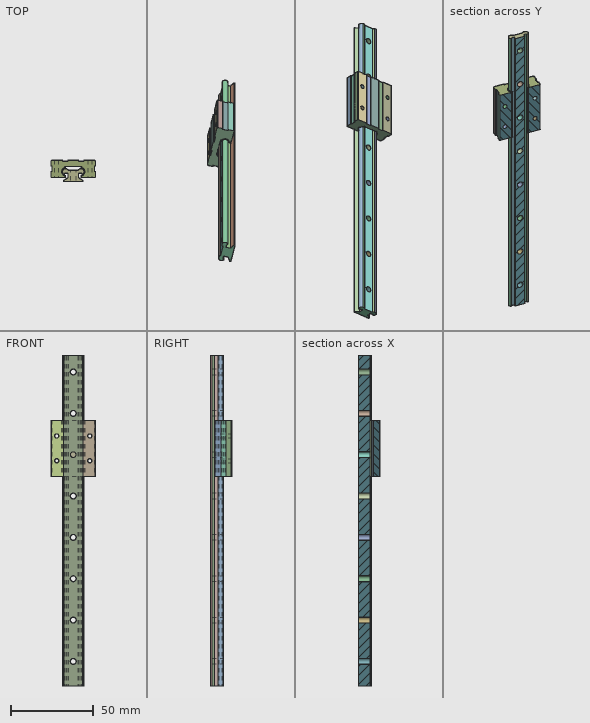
import cadquery as cq
import math


rail_length = 200.0
foot_half_width = 5.8
foot_edge = 0.8
neck_half_width = 3.2
neck_bottom = 2.5
neck_top = 5.0
head_radius = 1.9
head_center_x = 4.5
head_center_y = 6.0
head_bottom = 4.5
head_top = 7.8
trough_edge = 4.0
trough_half_width = 3.0
trough_floor = 7.0
rail_hole_diameter = 3.5
rail_hole_count = 8
rail_hole_pitch = 25.0
first_rail_hole = 15.0

carriage_width = 27.0
carriage_length = 34.0
carriage_middle = 143.8
carriage_bottom = carriage_middle - carriage_length / 2
carriage_front = 2.5
carriage_back = 13.0
mouth_half_width = 4.5
back_chamfer = 0.5
front_chamfer = 0.5
pocket_top = 9.0
side_groove_low = 6.2
side_groove_high = 9.5
side_groove_depth = 0.5
back_groove_inner = 3.2
back_groove_outer = 6.5
back_groove_depth = 0.5
carriage_hole_diameter = 2.5
carriage_hole_spacing_x = 20.0
carriage_hole_spacing_z = 15.0

liner_thickness = 0.5
seat_radius = head_radius + liner_thickness


def prism(outline, bottom, length):
    """Solid with a closed XY outline, running up from Z = bottom."""
    return outline.close().extrude(length).translate((0, 0, bottom))


def block(x_low, x_high, y_low, y_high):
    """Box as long as the carriage, between the given X and Y limits."""
    return (
        cq.Workplane("XY")
        .box(x_high - x_low, y_high - y_low, carriage_length)
        .translate(((x_low + x_high) / 2, (y_low + y_high) / 2, carriage_middle))
    )


def y_holes(diameter, places):
    """Round cutters along Y at the given (X, Z) places, longer than the guide is deep."""
    return cq.Workplane("XZ").pushPoints(places).circle(diameter / 2).extrude(carriage_back, both=True)


def both_sides(solid):
    """The +X solid together with its mirror image."""
    return solid.union(solid.mirror("YZ"))


def wrap_points(radius):
    """Points of a line wrapped around the +X half of the head, for a line at this radius:
    a 45 degree tangent from the front, an arc, and a 45 degree tangent towards the back.
    The front tangent stops at the mouth, the back one level with where the seat meets the pocket top."""
    reach = radius * math.sqrt(0.5)
    front_run = head_center_x + reach - mouth_half_width
    back_run = pocket_top - head_center_y - seat_radius * math.sqrt(0.5)
    arc_start = (head_center_x + reach, head_center_y - reach)
    arc_middle = (head_center_x + radius, head_center_y)
    arc_end = (head_center_x + reach, head_center_y + reach)
    front_end = (arc_start[0] - front_run, arc_start[1] - front_run)
    back_end = (arc_end[0] - back_run, arc_end[1] + back_run)
    return front_end, arc_start, arc_middle, arc_end, back_end


def make_rail():
    """Rail with a sloped foot, a narrow neck and a rounded head that has a shallow trough in its back."""
    head_top_edge = head_center_x + math.sqrt(head_radius**2 - (head_top - head_center_y) ** 2)
    head_bottom_edge = head_center_x + math.sqrt(head_radius**2 - (head_center_y - head_bottom) ** 2)
    half = (
        cq.Workplane("XY")
        .lineTo(foot_half_width, 0)
        .lineTo(foot_half_width, foot_edge)
        .lineTo(neck_half_width, neck_bottom)
        .lineTo(neck_half_width, neck_top)
        .lineTo(head_bottom_edge - (neck_top - head_bottom), neck_top)
        .lineTo(head_bottom_edge, head_bottom)
        .threePointArc((head_center_x + head_radius, head_center_y), (head_top_edge, head_top))
        .lineTo(trough_edge, head_top)
        .lineTo(trough_half_width, trough_floor)
        .lineTo(0, trough_floor)
    )
    body = both_sides(prism(half, 0, rail_length))
    places = [(0, first_rail_hole + i * rail_hole_pitch) for i in range(rail_hole_count)]
    return body.cut(y_holes(rail_hole_diameter, places))


def make_half_pocket():
    """The +X half of the channel in the carriage, from its mouth to the pocket top."""
    front_end, arc_start, arc_middle, arc_end, back_end = wrap_points(seat_radius)
    half = (
        cq.Workplane("XY")
        .moveTo(0, carriage_front)
        .lineTo(mouth_half_width, carriage_front)
        .lineTo(*front_end)
        .lineTo(*arc_start)
        .threePointArc(arc_middle, arc_end)
        .lineTo(*back_end)
        .lineTo(0, pocket_top)
    )
    return prism(half, carriage_bottom, carriage_length)


def make_carriage():
    """Carriage block with grooves in its sides and back, the channel, and four holes through it."""
    half_width = carriage_width / 2
    body = block(-half_width, half_width, carriage_front, carriage_back)
    body = body.edges("|Z and >Y").chamfer(back_chamfer)
    body = body.edges("|Z and <Y").chamfer(front_chamfer)
    side_groove = block(half_width - side_groove_depth, half_width, side_groove_low, side_groove_high)
    back_floor = carriage_back - back_groove_depth
    back_groove = block(back_groove_inner, back_groove_outer, back_floor, carriage_back)
    for cutter in (both_sides(side_groove), both_sides(back_groove), both_sides(make_half_pocket())):
        body = body.cut(cutter)
    places = [
        (across * carriage_hole_spacing_x / 2, carriage_middle + along * carriage_hole_spacing_z / 2)
        for across in (-1, 1)
        for along in (-1, 1)
    ]
    return body.cut(y_holes(carriage_hole_diameter, places))


def make_liner(side):
    """Strip of even thickness lining the seat around the head; side is +1 or -1 along X."""
    front_end, arc_start, arc_middle, arc_end, back_end = wrap_points(seat_radius)
    inner_front, inner_start, inner_middle, inner_end, inner_back = wrap_points(head_radius)
    strip = (
        cq.Workplane("XY")
        .moveTo(*front_end)
        .lineTo(*arc_start)
        .threePointArc(arc_middle, arc_end)
        .lineTo(*back_end)
        .lineTo(*inner_back)
        .lineTo(*inner_end)
        .threePointArc(inner_middle, inner_start)
        .lineTo(*inner_front)
    )
    liner = prism(strip, carriage_bottom, carriage_length)
    return liner if side > 0 else liner.mirror("YZ")


rail = make_rail()
carriage = make_carriage()
liners = [make_liner(side) for side in (-1, 1)]

result = cq.Compound.makeCompound([rail.val(), carriage.val(), *[liner.val() for liner in liners]])